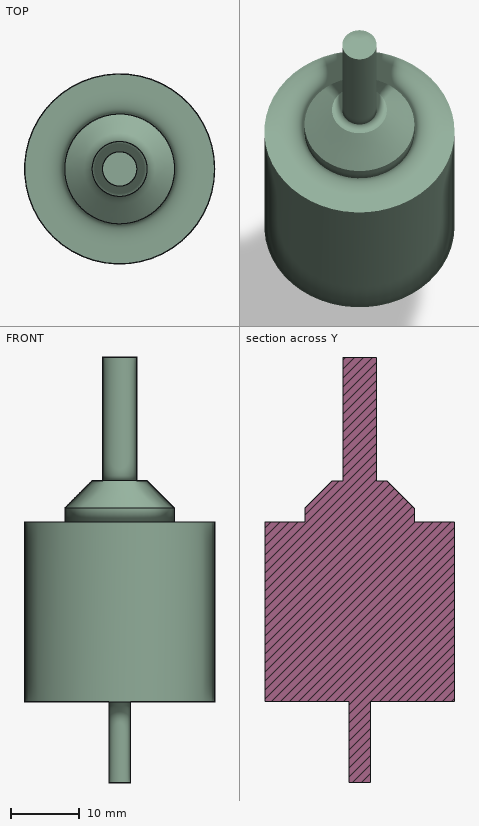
import cadquery as cq

body_diameter = 27.7
collar_diameter = 16.0
collar_top_diameter = 8.0
upper_shaft_diameter = 5.0
lower_shaft_diameter = 3.175

body_height = 26.2
collar_height = 2.0
cone_height = (collar_diameter - collar_top_diameter) / 2
upper_shaft_length = 18.0
lower_shaft_length = 11.8

collar_base_z = body_height
cone_base_z = collar_base_z + collar_height
cone_top_z = cone_base_z + cone_height


def cylinder(diameter, height, base_z):
    """Cylinder on the Z axis, rising from base_z."""
    return cq.Workplane("XY").workplane(offset=base_z).circle(diameter / 2).extrude(height)


def cone(base_diameter, top_diameter, height, base_z):
    """Truncated cone on the Z axis, rising from base_z."""
    solid = cq.Solid.makeCone(base_diameter / 2, top_diameter / 2, height, pnt=cq.Vector(0, 0, base_z))
    return cq.Workplane("XY").add(solid)


body = cylinder(body_diameter, body_height, 0)
collar = cylinder(collar_diameter, collar_height, collar_base_z)
collar_cone = cone(collar_diameter, collar_top_diameter, cone_height, cone_base_z)
upper_shaft = cylinder(upper_shaft_diameter, upper_shaft_length, cone_top_z)
lower_shaft = cylinder(lower_shaft_diameter, lower_shaft_length, -lower_shaft_length)

result = body.union(collar).union(collar_cone).union(upper_shaft).union(lower_shaft)